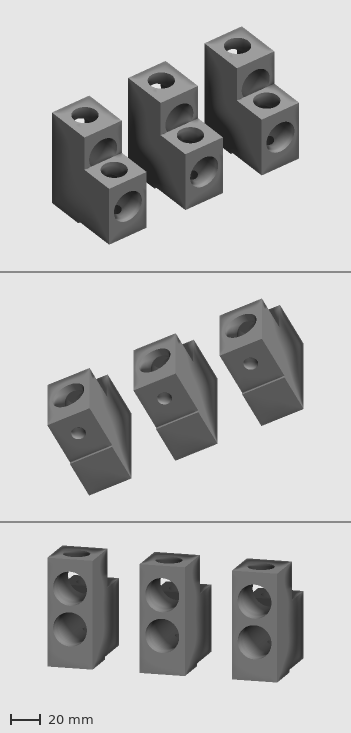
import cadquery as cq

row_length = 161.8
block_count = 3
block_width = 31.9
block_pitch = (row_length - block_width) / (block_count - 1)

block_length = 63.5
block_height = 75.7
tower_length = 36.0
step_drop = 27.0
shelf_height = block_height - step_drop
foot_length = 29.3
foot_depth = 2.0

bore_diameter = 23.8
lower_bore_height = 26.9
upper_bore_height = 55.2

access_diameter = 18.5
screw_diameter = 10.0
tower_hole_x = 16.0
shelf_hole_x = 48.4


def stepped_body():
    """Block outline extruded across its width, centred on Y = 0."""
    outline = [
        (0, 0),
        (foot_length, 0),
        (foot_length, foot_depth),
        (block_length, foot_depth),
        (block_length, shelf_height),
        (tower_length, shelf_height),
        (tower_length, block_height),
        (0, block_height),
    ]
    return cq.Workplane("XZ").polyline(outline).close().extrude(block_width / 2, both=True)


def bore(height, length):
    """Cylinder along +X from the X = 0 face."""
    return cq.Workplane("YZ").center(0, height).circle(bore_diameter / 2).extrude(length)


def vertical_hole(x, diameter, bottom, top):
    """Cylinder along Z between two heights."""
    return cq.Workplane("XY", origin=(x, 0, bottom)).circle(diameter / 2).extrude(top - bottom)


def clamp_block():
    """One block with both bores, its access holes and its screw hole."""
    block = stepped_body()

    block = block.cut(bore(upper_bore_height, tower_length))
    block = block.cut(bore(lower_bore_height, block_length))

    block = block.cut(vertical_hole(tower_hole_x, access_diameter, upper_bore_height, block_height))
    block = block.cut(vertical_hole(shelf_hole_x, access_diameter, lower_bore_height, shelf_height))

    return block.cut(vertical_hole(shelf_hole_x, screw_diameter, 0, lower_bore_height))


blocks = []
for index in range(block_count):
    y_center = block_width / 2 + index * block_pitch
    blocks.append(clamp_block().translate((0, y_center, 0)).val())

result = cq.Compound.makeCompound(blocks)